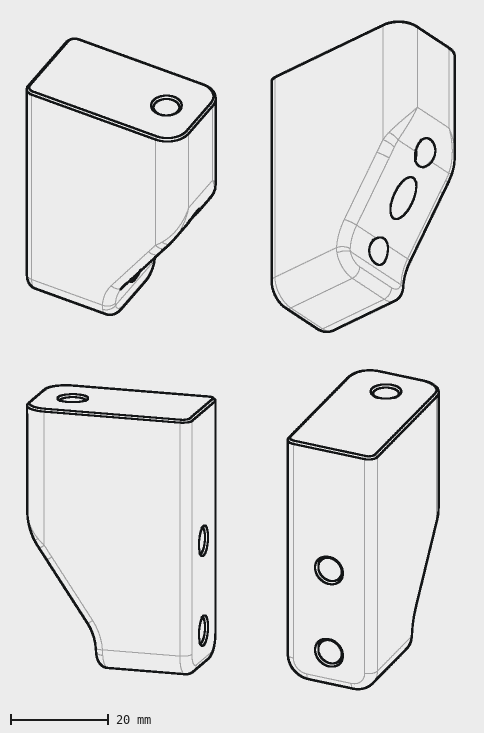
import cadquery as cq

length = 36.0
width = 20.0
height = 55.0

foot_length = 20.5
slope_bottom = 7.35
slope_top = 30.0
head_bend_radius = 15.0
foot_bend_radius = 10.0

corner_radius = 5.0
edge_radius = 2.0
edge_chamfer = 0.5

hole_diameter = 5.3
top_hole_x = 28.0
side_hole_heights = (8.0, 27.0)


def side_profile():
    """Tapered block with blended bends at both ends of the slope."""
    block = (
        cq.Workplane("XZ")
        .polyline([
            (0, 0),
            (foot_length, 0),
            (foot_length, slope_bottom),
            (length, slope_top),
            (length, height),
            (0, height),
        ])
        .close()
        .extrude(width / 2, both=True)
    )
    head_bend = cq.selectors.NearestToPointSelector((length, 0, slope_top))
    block = block.edges(head_bend).fillet(head_bend_radius)
    foot_bend = cq.selectors.NearestToPointSelector((foot_length, 0, slope_bottom))
    return block.edges(foot_bend).fillet(foot_bend_radius)


def corner_envelope():
    """Full block with large radii on its +X vertical and lower lengthwise corners."""
    block = cq.Workplane("XY").box(length, width, height, centered=(False, True, False))
    plan = block.edges("|Z and >X").fillet(corner_radius)
    end = block.edges("|X and <Z").fillet(corner_radius)
    return plan.intersect(end)


def round_outer_edges(body):
    """Round the rim of the -X face and both side edges of the slope and foot."""
    body = body.faces("<X").edges("not >Z").fillet(edge_radius)
    slope_x = (foot_length + length - corner_radius) / 2
    slope_z = (slope_bottom + slope_top) / 2
    slope_edge = cq.selectors.NearestToPointSelector((slope_x, -width / 2, slope_z))
    return body.edges(slope_edge).fillet(edge_radius)


def countersunk_hole(mouth_plane, depth):
    """Bore running inward from the mouth plane, with a chamfered mouth."""
    bore = cq.Workplane(mouth_plane).circle(hole_diameter / 2).extrude(-depth)
    mouth = (
        cq.Workplane(mouth_plane)
        .circle(hole_diameter / 2 + edge_chamfer)
        .extrude(-edge_chamfer, taper=45)
    )
    return bore.union(mouth)


result = round_outer_edges(side_profile().intersect(corner_envelope()))
result = result.faces(">Z").chamfer(edge_chamfer)

top_plane = cq.Plane(origin=(top_hole_x, 0, height), normal=(0, 0, 1))
result = result.cut(countersunk_hole(top_plane, height))

for hole_z in side_hole_heights:
    side_plane = cq.Plane(origin=(0, 0, hole_z), xDir=(0, 1, 0), normal=(-1, 0, 0))
    result = result.cut(countersunk_hole(side_plane, length))